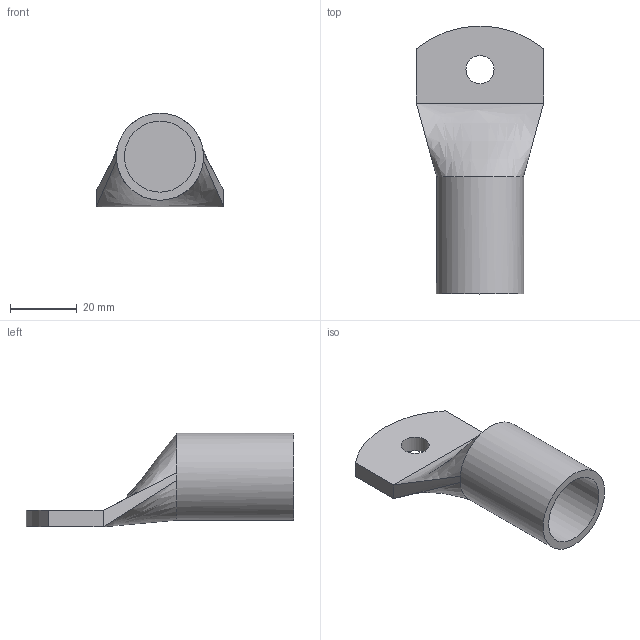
import cadquery as cq
import math

palm_width = 38.0
palm_thickness = 5.0
palm_length = 23.0
palm_end_radius = 30.0
bolt_hole_diameter = 8.4
bolt_hole_to_end = 13.0

barrel_diameter = 26.0
bore_diameter = 21.2
barrel_length = 35.0
barrel_axis_height = 15.0

total_length = 80.0

side_half_angle = 5.0
edge_easing_power = 4
section_count = 5
points_per_wide_edge = 15
points_per_side_edge = 3

palm_half_width = palm_width / 2
palm_start = total_length - palm_length
neck_length = palm_start - barrel_length
barrel_radius = barrel_diameter / 2


def make_barrel():
    """Tube whose bore ends where the neck begins."""
    return (
        cq.Workplane("XZ", origin=(0, 0, barrel_axis_height))
        .circle(barrel_radius)
        .circle(bore_diameter / 2)
        .extrude(-barrel_length)
    )


def make_palm():
    """Plate resting on Z = 0, with an arc across its free end."""
    end_arc_rise = palm_end_radius - math.sqrt(palm_end_radius**2 - palm_half_width**2)
    shoulder = total_length - end_arc_rise
    plate = (
        cq.Workplane("XY")
        .moveTo(-palm_half_width, palm_start)
        .lineTo(palm_half_width, palm_start)
        .lineTo(palm_half_width, shoulder)
        .threePointArc((0, total_length), (-palm_half_width, shoulder))
        .close()
        .extrude(palm_thickness)
    )
    bolt_hole = (
        cq.Workplane("XY")
        .center(0, total_length - bolt_hole_to_end)
        .circle(bolt_hole_diameter / 2)
        .extrude(palm_thickness)
    )
    return plate.cut(bolt_hole)


def neck_edge(travel, angles, palm_corners, is_curved, point_count):
    """One edge of a neck section; travel runs from 0 at the barrel to 1 at the palm.

    The edge blends the barrel arc between two angles into the line between two palm corners.
    """
    (x_first, z_first), (x_last, z_last) = palm_corners
    remaining = 1 - travel
    tangent_share = 2 * remaining**2 - remaining**3
    points = []
    for index in range(point_count):
        along = index / (point_count - 1)
        angle = math.radians(angles[0] + along * (angles[1] - angles[0]))
        barrel_x = barrel_radius * math.cos(angle)
        barrel_z = barrel_axis_height + barrel_radius * math.sin(angle)
        palm_x = x_first + along * (x_last - x_first)
        palm_z = z_first + along * (z_last - z_first)
        from_middle = 2 * along - 1
        curving = 1 - from_middle**edge_easing_power if is_curved else 0
        share = remaining + curving * (tangent_share - remaining)
        points.append(
            cq.Vector(
                palm_x + share * (barrel_x - palm_x),
                barrel_length + travel * neck_length,
                palm_z + share * (barrel_z - palm_z),
            )
        )
    if travel == 0:
        return cq.Edge.makeThreePointArc(points[0], points[point_count // 2], points[-1])
    return cq.Edge.makeSpline(points)


def neck_section(travel):
    """Closed wire of four edges; only the top one curves along the neck."""
    right_bottom = (palm_half_width, 0)
    right_top = (palm_half_width, palm_thickness)
    left_top = (-palm_half_width, palm_thickness)
    left_bottom = (-palm_half_width, 0)

    right_side = (-side_half_angle, side_half_angle)
    left_side = (180 - side_half_angle, 180 + side_half_angle)
    top = (right_side[1], left_side[0])
    bottom = (left_side[1], 360 + right_side[0])

    edges = [
        neck_edge(travel, right_side, (right_bottom, right_top), False, points_per_side_edge),
        neck_edge(travel, top, (right_top, left_top), True, points_per_wide_edge),
        neck_edge(travel, left_side, (left_top, left_bottom), False, points_per_side_edge),
        neck_edge(travel, bottom, (left_bottom, right_bottom), False, points_per_wide_edge),
    ]
    return cq.Wire.assembleEdges(edges)


def make_neck():
    """Smooth loft through sections spaced evenly from barrel to palm."""
    sections = [neck_section(index / (section_count - 1)) for index in range(section_count)]
    return cq.Workplane(cq.Solid.makeLoft(sections))


result = make_barrel().union(make_neck()).union(make_palm())